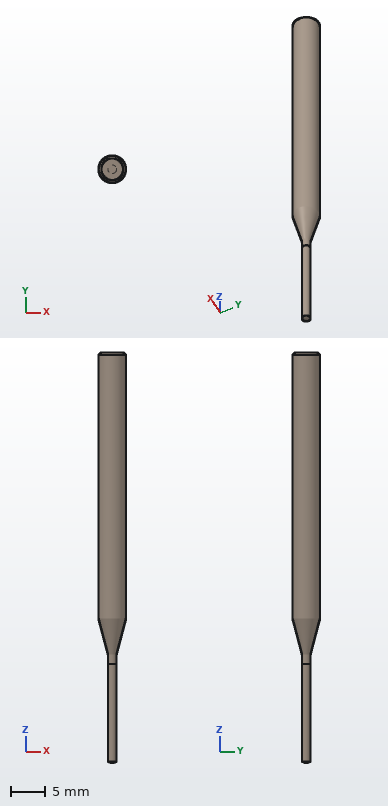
import cadquery as cq
import math

total_length = 60.0
shank_diameter = 4.0
drill_diameter = 1.25

taper_top = 21.05
taper_bottom = 15.85
drill_top = 14.5

top_chamfer = 0.4
point_angle = 140.0

shank_radius = shank_diameter / 2
drill_radius = drill_diameter / 2
point_height = drill_radius / math.tan(math.radians(point_angle / 2))


def revolve_about_z(profile):
    """Turn a closed (radius, height) outline into a solid about the Z axis."""
    return cq.Workplane("XZ").polyline(profile).close().revolve(360, (0, 0, 0), (0, 1, 0))


def make_shank():
    """Chamfered round shank that tapers down to a short neck."""
    return revolve_about_z([
        (0, drill_top),
        (drill_radius, drill_top),
        (drill_radius, taper_bottom),
        (shank_radius, taper_top),
        (shank_radius, total_length - top_chamfer),
        (shank_radius - top_chamfer, total_length),
        (0, total_length),
    ])


def make_drill():
    """Slender rod below the neck, ending in a conical point at the origin."""
    return revolve_about_z([
        (0, 0),
        (drill_radius, point_height),
        (drill_radius, drill_top),
        (0, drill_top),
    ])


shank = make_shank()
drill = make_drill()

result = cq.Compound.makeCompound([shank.val(), drill.val()])